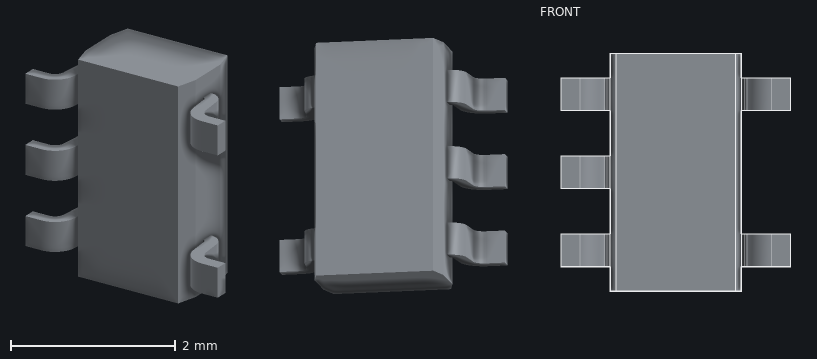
import cadquery as cq
import math

housing_length = 2.9
housing_width = 1.6
housing_thickness = 1.102
taper_depth = housing_thickness / 4
taper_inset = 0.072

overall_span = 2.8
overall_height = 1.25
lead_thickness = 0.168
lead_width = 0.4
lead_pitch = 0.95
lead_top = 0.76
neck_length = 0.003
foot_inner_radius = 0.133
shoulder_inner_radius = 0.035
lean = math.radians(5.5)

half_width = housing_width / 2
half_span = overall_span / 2
half_face = half_width - taper_inset
housing_bottom = overall_height - housing_thickness
foot_outer_radius = foot_inner_radius + lead_thickness
shoulder_outer_radius = shoulder_inner_radius + lead_thickness


def make_housing():
    """Prism with both broad faces narrowed by tapered sides."""
    left_side = [
        (-half_face, housing_bottom),
        (-half_width, housing_bottom + taper_depth),
        (-half_width, overall_height - taper_depth),
        (-half_face, overall_height),
    ]
    right_side = [(-x, y) for x, y in reversed(left_side)]
    return (
        cq.Workplane("XY")
        .polyline(left_side + right_side)
        .close()
        .extrude(housing_length / 2, both=True)
    )


def make_lead():
    """Left lead, centred on Z = 0: foot, leaning leg and neck joined by tangent bends."""
    shoulder_x = -half_width - neck_length
    shoulder_y = lead_top - shoulder_outer_radius
    foot_y = foot_outer_radius
    rise = shoulder_y - foot_y
    radius_sum = foot_outer_radius + shoulder_inner_radius
    foot_x = shoulder_x - (radius_sum + rise * math.sin(lean)) / math.cos(lean)

    leg_angle = -lean
    foot_middle = (leg_angle - math.pi / 2) / 2
    shoulder_middle = foot_middle + math.pi

    def foot_point(radius, angle):
        return (foot_x + radius * math.cos(angle), foot_y + radius * math.sin(angle))

    def shoulder_point(radius, angle):
        return (shoulder_x + radius * math.cos(angle), shoulder_y + radius * math.sin(angle))

    profile = (
        cq.Workplane("XY")
        .moveTo(-half_span, 0)
        .lineTo(foot_x, 0)
        .threePointArc(
            foot_point(foot_outer_radius, foot_middle),
            foot_point(foot_outer_radius, leg_angle),
        )
        .lineTo(*shoulder_point(shoulder_inner_radius, leg_angle + math.pi))
        .threePointArc(
            shoulder_point(shoulder_inner_radius, shoulder_middle),
            shoulder_point(shoulder_inner_radius, math.pi / 2),
        )
        .lineTo(-half_width, lead_top - lead_thickness)
        .lineTo(-half_width, lead_top)
        .lineTo(shoulder_x, lead_top)
        .threePointArc(
            shoulder_point(shoulder_outer_radius, shoulder_middle),
            shoulder_point(shoulder_outer_radius, leg_angle + math.pi),
        )
        .lineTo(*foot_point(foot_inner_radius, leg_angle))
        .threePointArc(
            foot_point(foot_inner_radius, foot_middle),
            foot_point(foot_inner_radius, -math.pi / 2),
        )
        .lineTo(-half_span, lead_thickness)
        .close()
    )
    return profile.extrude(lead_width / 2, both=True)


housing = make_housing()
left_lead = make_lead()
right_lead = left_lead.mirror("YZ")

leads = []
for lead, rows in ((left_lead, (-1, 0, 1)), (right_lead, (-1, 1))):
    for row in rows:
        leads.append(lead.translate((0, 0, row * lead_pitch)).val())

result = cq.Compound.makeCompound([housing.val(), *leads])